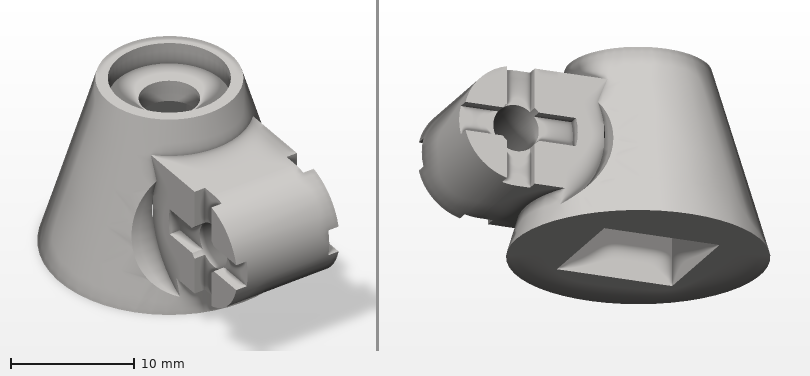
import cadquery as cq

height = 16.0
base_radius = 10.73
top_radius = 6.0

recess_radius = 5.0
recess_depth = 2.0
bore_radius = 2.5
socket_side = 10.12
socket_depth = 12.0

overall_length = 28.1
lug_radius = 5.0
lug_width = 10.0
lug_axis_height = 8.0
pin_radius = 2.0
clearance_radius = 7.35

groove_width = 2.45
groove_depth = 1.0

pin_x = overall_length - base_radius - lug_radius
lug_half_width = lug_width / 2


def pin_cylinder(radius, start_y, length):
    """Cylinder around the hinge axis, running from start_y towards +Y."""
    return cq.Workplane(
        cq.Solid.makeCylinder(
            radius, length, cq.Vector(pin_x, start_y, lug_axis_height), cq.Vector(0, 1, 0)
        )
    )


def make_cone():
    return (
        cq.Workplane("XZ")
        .polyline([(0, 0), (base_radius, 0), (top_radius, height), (0, height)])
        .close()
        .revolve(360, (0, 0), (0, 1))
    )


def make_lug():
    """Rounded hinge lug whose straight part starts on the cone axis."""
    bar = cq.Workplane("XY").box(pin_x, lug_width, 2 * lug_radius)
    bar = bar.translate((pin_x / 2, 0, lug_axis_height))
    return bar.union(pin_cylinder(lug_radius, -lug_half_width, lug_width))


def make_clearance(start_y):
    """Swing clearance beside the lug for the mating hinge fork."""
    return pin_cylinder(clearance_radius, start_y, base_radius)


def make_cross_groove(start_y):
    """Cross shaped groove: a round ended lengthwise arm and an upright arm across the whole lug."""
    arm_length = 2 * lug_radius
    center = (pin_x, start_y + groove_depth / 2, lug_axis_height)
    lengthwise = cq.Workplane("XY").box(arm_length, groove_depth, groove_width).translate(center)
    lengthwise = lengthwise.intersect(pin_cylinder(lug_radius, start_y, groove_depth))
    upright = cq.Workplane("XY").box(groove_width, groove_depth, arm_length).translate(center)
    return lengthwise.union(upright)


def make_bore():
    """Top recess, through bore and square socket open at the base."""
    bore = cq.Workplane("XY").circle(bore_radius).extrude(height)
    recess = (
        cq.Workplane("XY")
        .workplane(offset=height - recess_depth)
        .circle(recess_radius)
        .extrude(recess_depth)
    )
    socket = cq.Workplane("XY").rect(socket_side, socket_side).extrude(socket_depth)
    return bore.union(recess).union(socket)


body = make_cone()
for clearance_start in (-lug_half_width - base_radius, lug_half_width):
    body = body.cut(make_clearance(clearance_start))
body = body.union(make_lug())
for groove_start in (-lug_half_width, lug_half_width - groove_depth):
    body = body.cut(make_cross_groove(groove_start))
body = body.cut(pin_cylinder(pin_radius, -lug_half_width, lug_width))
result = body.cut(make_bore())